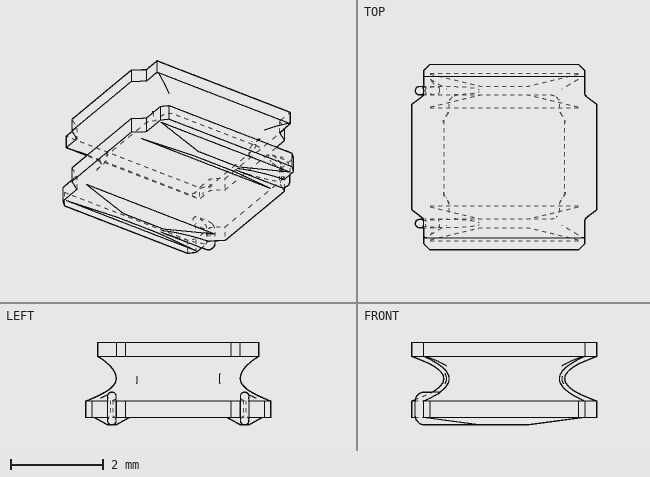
import cadquery as cq

total_height = 1.78
top_plate_thickness = 0.3
bottom_plate_thickness = 0.355
bead_height = 0.155

bottom_plate_top = bead_height + bottom_plate_thickness
top_plate_bottom = total_height - top_plate_thickness
waist_z = (bottom_plate_top + top_plate_bottom) / 2
window_half_height = (top_plate_bottom - bottom_plate_top) / 2

plate_half = 2.0
shoulder_x = 1.74
notch_outer_y = 1.135
notch_inner_y = 1.33
top_plate_half_y = 1.74
bottom_corner_chamfer = 0.135

plate_blend = 0.03
top_corner_blend = 0.04
slope_ratio = (plate_half - shoulder_x) / (notch_inner_y - notch_outer_y)


def core_end_points(half_y, corner_cut):
    """Quadrant points of the core where it meets a plate."""
    return [
        (plate_half, notch_outer_y),
        (plate_half - slope_ratio * plate_blend, notch_outer_y + plate_blend),
        (shoulder_x + slope_ratio * plate_blend, notch_inner_y - plate_blend),
        (shoulder_x, notch_inner_y + plate_blend),
        (shoulder_x, half_y - corner_cut),
        (shoulder_x - corner_cut, half_y),
    ]


bottom_points = core_end_points(plate_half, bottom_corner_chamfer)
top_points = core_end_points(top_plate_half_y, top_corner_blend)

waist_points = [
    (1.304, 0.742),
    (1.245, 0.885),
    (1.235, 0.915),
    (1.19, 1.068),
    (1.19, 1.157),
    (1.017, 1.336),
]

waist_bulges = [0.02, 0, -0.02, 0, 0.05]
sections_per_half = 4

wire_radius = 0.092
wire_bend_radius = 0.1
wire_y = 1.432
wire_leg_x = -1.828
wire_upper_z = 0.616
wire_upper_end_x = -1.4

bead_base_length = 3.36
bead_base_width = 0.75
bead_tip_length = 1.04
bead_tip_width = 0.19


def all_quadrants(quadrant):
    """Mirror quadrant points, ordered from +X to +Y, into a closed counterclockwise outline."""
    return (
        quadrant
        + [(-x, y) for x, y in reversed(quadrant)]
        + [(-x, -y) for x, y in quadrant]
        + [(x, -y) for x, y in reversed(quadrant)]
    )


def plate(quadrant, z_low, thickness):
    """Flat plate with a notch beside each corner."""
    outline = cq.Workplane("XY", origin=(0, 0, z_low)).polyline(all_quadrants(quadrant)).close()
    return outline.extrude(thickness)


def bulge_edge(start, end, bulge, z):
    """Edge from start to end, bowed by the bulge to the right of its direction (outward)."""
    start_point = cq.Vector(*start, z)
    end_point = cq.Vector(*end, z)
    if bulge == 0:
        return cq.Edge.makeLine(start_point, end_point)
    chord = end_point - start_point
    outward = cq.Vector(chord.y, -chord.x, 0).normalized()
    middle = (start_point + end_point) * 0.5 + outward * bulge
    return cq.Edge.makeThreePointArc(start_point, middle, end_point)


def core_section(fraction):
    """Core outline between the bottom plate (-1), the waist (0) and the top plate (+1)."""
    plate_points = bottom_points if fraction < 0 else top_points
    flare = fraction**2
    quadrant = [
        (wx + (px - wx) * flare, wy + (py - wy) * flare)
        for (wx, wy), (px, py) in zip(waist_points, plate_points)
    ]
    z = waist_z + fraction * window_half_height
    outline = all_quadrants(quadrant)
    ends = outline[1:] + outline[:1]
    quadrant_bulges = waist_bulges + [0]
    mirrored_bulges = waist_bulges[::-1] + [0]
    bulges = 2 * (quadrant_bulges + mirrored_bulges)
    edges = [
        bulge_edge(start, end, bulge * (1 - flare), z)
        for start, end, bulge in zip(outline, ends, bulges)
    ]
    return cq.Wire.assembleEdges(edges)


def core():
    """Smooth core through evenly spaced sections, so its sides are true parabolas."""
    steps = range(-sections_per_half, sections_per_half + 1)
    sections = [core_section(step / sections_per_half) for step in steps]
    return cq.Workplane(obj=cq.occ_impl.shapes.loft(*sections, cap=True, parametrization="uniform"))


def wire_end(y):
    """Wire leaving the core, running down the plate's side and under the plate."""
    lower_z = wire_radius
    path = (
        cq.Workplane("XZ", origin=(0, y, 0))
        .moveTo(wire_upper_end_x, wire_upper_z)
        .lineTo(wire_leg_x + wire_bend_radius, wire_upper_z)
        .tangentArcPoint((-wire_bend_radius, -wire_bend_radius))
        .lineTo(wire_leg_x, lower_z + wire_bend_radius)
        .tangentArcPoint((wire_bend_radius, -wire_bend_radius))
        .lineTo(-bead_tip_length / 2, lower_z)
    )
    profile = cq.Workplane("YZ", origin=(wire_upper_end_x, y, wire_upper_z)).circle(wire_radius)
    return profile.sweep(path)


def solder_bead(y):
    """Long tapered bead around the wire, narrowing downwards from the bottom plate."""
    return (
        cq.Workplane("XY", origin=(0, y, 0))
        .rect(bead_tip_length, bead_tip_width)
        .workplane(offset=bead_height)
        .rect(bead_base_length, bead_base_width)
        .loft(ruled=True)
    )


notch_points = [(plate_half, notch_outer_y), (shoulder_x, notch_inner_y)]
bottom_plate_quadrant = notch_points + [
    (shoulder_x, plate_half - bottom_corner_chamfer),
    (shoulder_x - bottom_corner_chamfer, plate_half),
]
top_plate_quadrant = notch_points + [(shoulder_x, top_plate_half_y)]

result = plate(bottom_plate_quadrant, bead_height, bottom_plate_thickness)
result = result.union(core())
result = result.union(plate(top_plate_quadrant, top_plate_bottom, top_plate_thickness))
for side_y in (-wire_y, wire_y):
    result = result.union(solder_bead(side_y)).union(wire_end(side_y))